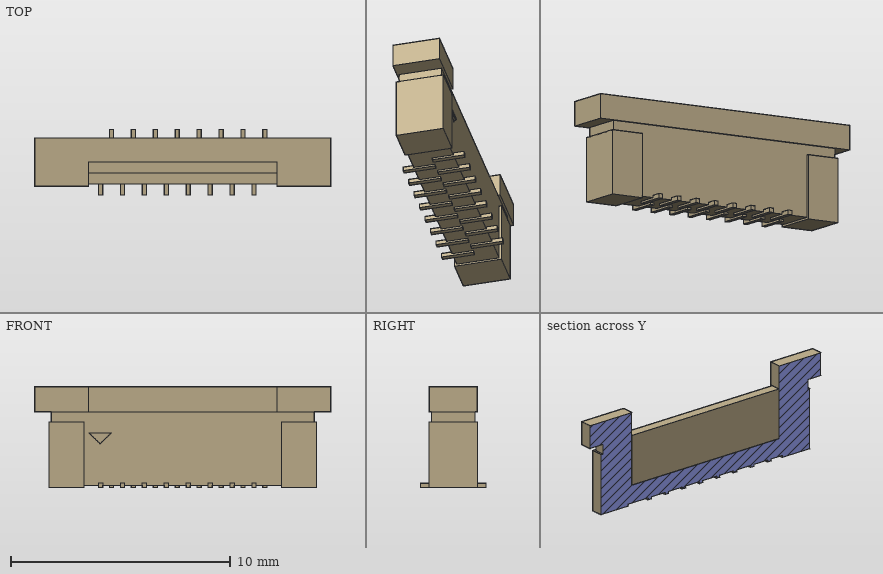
import cadquery as cq

total_height = 4.6
cap_height = 1.15
cap_bottom = total_height - cap_height

cap_length = 13.5
cap_depth = 2.2
notch_length = 8.59

body_length = 12.0
body_depth = 2.0
body_clearance = 0.1

slot_width = 0.5
slot_floor = 1.0

block_outer_span = 12.2
block_inner_span = 8.99
block_depth = 2.21
block_height = 3.0
block_length = (block_outer_span - block_inner_span) / 2

pins_per_row = 8
pin_pitch = 1.0
pin_size = 0.2
pin_reach = 1.5
row_shift = pin_pitch / 4

mark_left = -4.28
mark_width = 1.03
mark_height = 0.5
mark_top = 2.5
mark_engraving = 0.05


def box(length, depth, height, x=0, y=0, z=0):
    """Box centred on x and y, standing on height z."""
    return cq.Workplane("XY").box(length, depth, height, centered=(True, True, False)).translate((x, y, z))


def housing():
    return box(body_length, body_depth, cap_bottom - body_clearance, z=body_clearance)


def cap():
    plate = box(cap_length, cap_depth, cap_height, z=cap_bottom)
    notch = box(notch_length, cap_depth, cap_height, y=-cap_depth / 2, z=cap_bottom)
    return plate.cut(notch)


def cable_slot():
    return box(notch_length, slot_width, cap_bottom - slot_floor, y=-slot_width / 2, z=slot_floor)


def end_block(side):
    centre = side * (block_outer_span - block_length) / 2
    return box(block_length, block_depth, block_height, x=centre)


def pin_row(side):
    """Row of pins; side is -1 for the front row and +1 for the rear row."""
    middle = (pins_per_row - 1) / 2
    spots = [((i - middle) * pin_pitch + side * row_shift, side * pin_reach / 2) for i in range(pins_per_row)]
    return (
        cq.Workplane("XY")
        .pushPoints(spots)
        .box(pin_size, pin_reach, pin_size, centered=(True, True, False))
    )


def pin_one_mark():
    corners = [
        (mark_left, mark_top),
        (mark_left + mark_width, mark_top),
        (mark_left + mark_width / 2, mark_top - mark_height),
    ]
    front_face = cq.Workplane("XZ", origin=(0, -body_depth / 2, 0))
    return front_face.polyline(corners).close().extrude(-mark_engraving)


result = housing().union(cap()).cut(cable_slot())
for side in (-1, 1):
    result = result.union(end_block(side))
    result = result.union(pin_row(side))
result = result.cut(pin_one_mark())